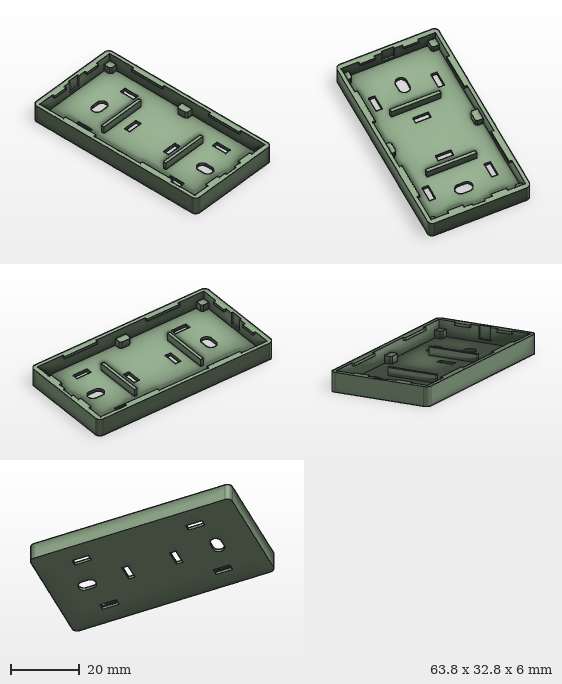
import cadquery as cq

LENGTH = 63.8
WIDTH = 32.8
HEIGHT = 6.0
CORNER_RADIUS = 1.6
END_WALL = 1.6
SIDE_WALL = 1.2
FLOOR = 1.0

CAVITY_LENGTH = LENGTH - 2 * END_WALL
CAVITY_WIDTH = WIDTH - 2 * SIDE_WALL

LIP_DEPTH = 0.8
LIP_HEIGHT = 0.8
SIDE_LIP_LENGTH = 12.0
SIDE_LIP_X = 15.0
END_LIP_LENGTH = 5.0
END_LIP_Y = 7.0

RECESS_WIDTH = 3.9
RECESS_DEPTH = 0.6
RECESS_HEIGHT = 4.0

POST_HEIGHT = 2.3
POST_DEPTH = 2.4
CORNER_POST_LENGTH = 2.6
MIDDLE_POST_LENGTH = 3.9
POST_CHAMFER = 0.6

RIB_THICKNESS = 1.0
RIB_LENGTH = 16.0
RIB_HEIGHT = 2.5
RIB_X = 12.05

OPENING_WIDTH = 2.0
OUTER_OPENING_LENGTH = 5.15
OUTER_OPENING_X = 18.0
OUTER_OPENING_Y = 10.0
INNER_OPENING_LENGTH = 5.0
INNER_OPENING_X = 7.6

SLOT_LENGTH = 5.6
SLOT_WIDTH = 3.5
SLOT_X = 20.6


def block(length, width, bottom, top, x, y):
    """Upright box centred on (x, y) between two heights."""
    return cq.Workplane("XY", origin=(x, y, bottom)).rect(length, width).extrude(top - bottom)


def floor_slot(x, angle):
    """Cutter for a round-ended slot through the floor."""
    return cq.Workplane("XY", origin=(x, 0, 0)).slot2D(SLOT_LENGTH, SLOT_WIDTH, angle).extrude(FLOOR)


def lip(length, width, x, y):
    """Snap lip flush with the rim."""
    return block(length, width, HEIGHT - LIP_HEIGHT, HEIGHT, x, y)


def post(length, x, side, candidate_edges):
    """Post against one side wall, chamfering the candidate edges that lie away from that wall."""
    y = side * (CAVITY_WIDTH - POST_DEPTH) / 2
    body = block(length, POST_DEPTH, FLOOR, FLOOR + POST_HEIGHT, x, y)
    front_face = "<Y" if side > 0 else ">Y"
    return body.edges(candidate_edges).edges(front_face).chamfer(POST_CHAMFER)


tray = block(LENGTH, WIDTH, 0, HEIGHT, 0, 0).edges("|Z").fillet(CORNER_RADIUS)
tray = tray.cut(block(CAVITY_LENGTH, CAVITY_WIDTH, FLOOR, HEIGHT, 0, 0))

for end in (-1, 1):
    recess_x = end * (CAVITY_LENGTH + RECESS_DEPTH) / 2
    tray = tray.cut(block(RECESS_DEPTH, RECESS_WIDTH, HEIGHT - RECESS_HEIGHT, HEIGHT, recess_x, 0))

    tray = tray.union(block(RIB_THICKNESS, RIB_LENGTH, FLOOR, FLOOR + RIB_HEIGHT, end * RIB_X, 0))
    tray = tray.cut(block(OPENING_WIDTH, INNER_OPENING_LENGTH, 0, FLOOR, end * INNER_OPENING_X, 0))

    for side in (-1, 1):
        side_lip_y = side * (CAVITY_WIDTH - LIP_DEPTH) / 2
        end_lip_x = end * (CAVITY_LENGTH - LIP_DEPTH) / 2
        tray = tray.union(lip(SIDE_LIP_LENGTH, LIP_DEPTH, end * SIDE_LIP_X, side_lip_y))
        tray = tray.union(lip(LIP_DEPTH, END_LIP_LENGTH, end_lip_x, side * END_LIP_Y))

        inner_face = "<X" if end > 0 else ">X"
        corner_x = end * (CAVITY_LENGTH - CORNER_POST_LENGTH) / 2
        tray = tray.union(post(CORNER_POST_LENGTH, corner_x, side, f"|Z and {inner_face}"))

        opening_x = end * OUTER_OPENING_X
        opening_y = side * OUTER_OPENING_Y
        tray = tray.cut(block(OUTER_OPENING_LENGTH, OPENING_WIDTH, 0, FLOOR, opening_x, opening_y))

for side in (-1, 1):
    tray = tray.union(post(MIDDLE_POST_LENGTH, 0, side, "|Z"))

tray = tray.cut(floor_slot(-SLOT_X, 90))
tray = tray.cut(floor_slot(SLOT_X, 0))

result = tray